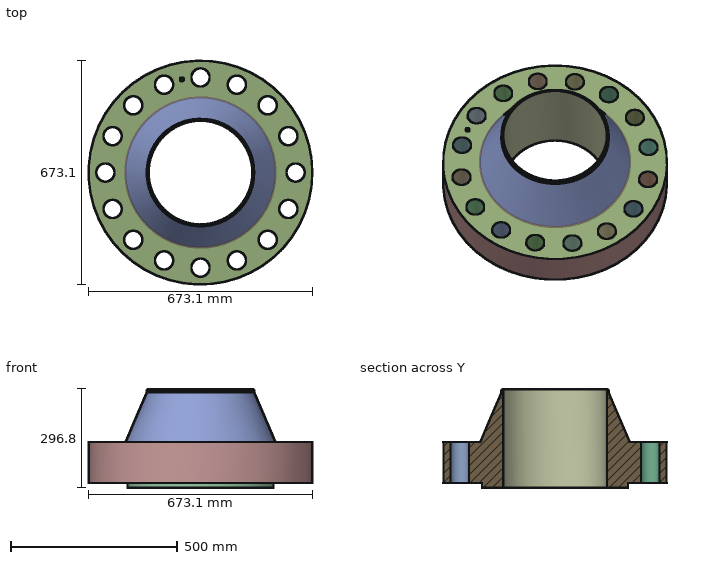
import cadquery as cq
import math

flange_diameter = 673.1
flange_thickness = 124.0

face_diameter = 440.0
face_height = 14.25

overall_height = 296.75
hub_base_diameter = 450.8
hub_base_fillet = 3.0
neck_diameter = 323.8
neck_length = 6.0
bevel_height = 4.0
bevel_end_diameter = 315.4
bore_diameter = 311.0

bolt_count = 16
bolt_circle_diameter = 571.5
bolt_hole_diameter = 54.0

small_hole_diameter = 6.0
small_hole_depth = 20.0
counterbore_diameter = 12.0
counterbore_depth = 1.0
small_hole_radius = bolt_circle_diameter / 2
small_hole_angle = math.radians(90.0 + 180.0 / bolt_count)

flange_top = flange_thickness
face_bottom = -face_height
neck_top = overall_height - face_height
bevel_start = neck_top - bevel_height
neck_start = bevel_start - neck_length

selection_margin = 0.1


def make_ring():
    """Flange ring with the raised face on its underside."""
    ring = cq.Workplane("XY").circle(flange_diameter / 2).extrude(flange_thickness)
    raised_face = cq.Workplane("XY").circle(face_diameter / 2).extrude(face_bottom)
    return ring.union(raised_face)


def make_hub():
    """Revolve the solid hub outline: taper, straight neck and weld bevel."""
    outline = (
        cq.Workplane("XZ")
        .moveTo(0, flange_top)
        .lineTo(hub_base_diameter / 2, flange_top)
        .lineTo(neck_diameter / 2, neck_start)
        .lineTo(neck_diameter / 2, bevel_start)
        .lineTo(bevel_end_diameter / 2, neck_top)
        .lineTo(0, neck_top)
        .close()
    )
    return outline.revolve(360, (0, 0, 0), (0, 1, 0))


def fillet_hub_base(body):
    """Round the inside corner where the hub meets the upper face of the ring."""
    reach = hub_base_diameter / 2 + selection_margin
    corner = cq.selectors.BoxSelector(
        (-reach, -reach, flange_top - selection_margin),
        (reach, reach, flange_top + selection_margin),
        boundingbox=True,
    )
    return body.edges(corner).fillet(hub_base_fillet)


def cut_bore(body):
    """Cut the through bore along the axis."""
    bore = cq.Workplane("XY", origin=(0, 0, face_bottom)).circle(bore_diameter / 2).extrude(overall_height)
    return body.cut(bore)


def cut_bolt_holes(body):
    """Cut the ring of through bolt holes."""
    holes = (
        cq.Workplane("XY")
        .polarArray(bolt_circle_diameter / 2, 0, 360, bolt_count)
        .circle(bolt_hole_diameter / 2)
        .extrude(flange_thickness)
    )
    return body.cut(holes)


def cut_small_hole(body):
    """Cut the small counterbored blind hole down from the upper face of the ring."""
    center = (
        small_hole_radius * math.cos(small_hole_angle),
        small_hole_radius * math.sin(small_hole_angle),
        flange_top,
    )
    mouth = cq.Workplane("XY", origin=center)
    hole = mouth.circle(small_hole_diameter / 2).extrude(-small_hole_depth)
    counterbore = mouth.circle(counterbore_diameter / 2).extrude(-counterbore_depth)
    return body.cut(hole).cut(counterbore)


result = make_ring().union(make_hub())
result = fillet_hub_base(result)
result = cut_bore(result)
result = cut_bolt_holes(result)
result = cut_small_hole(result)